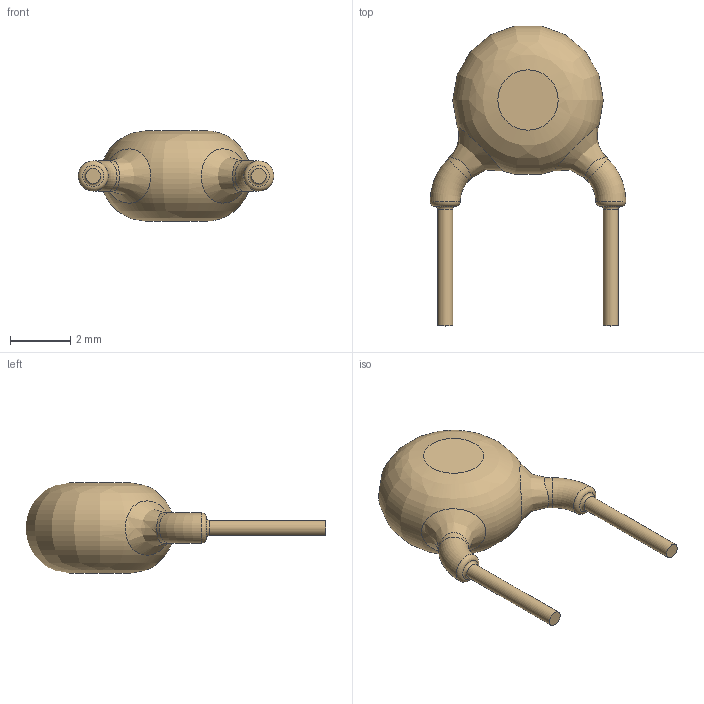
import math

import cadquery as cq

body_radius = 2.5
body_height = 3.0
rim_radius = body_height / 2
flat_radius = body_radius - rim_radius

lead_spacing = 5.5
lead_radius = 0.25
lead_tip_y = -7.5

sleeve_radius = 0.5
exit_angle = math.radians(45)
bend_radius = 1.5

body_blend = 1.0
sleeve_end_round = 0.15
lead_blend = sleeve_radius - sleeve_end_round - lead_radius

lead_x = lead_spacing / 2
bend_center_x = lead_x - bend_radius
bend_start_x = bend_center_x + bend_radius * math.cos(exit_angle)
bend_start_y = -bend_start_x * math.tan(exit_angle)
bend_end_y = bend_start_y - bend_radius * math.sin(exit_angle)
sleeve_end_y = bend_end_y - sleeve_end_round


def make_body():
    """Flat-faced disc with a full round rim, revolved about Z."""
    return (
        cq.Workplane("XZ")
        .moveTo(0, -rim_radius)
        .lineTo(flat_radius, -rim_radius)
        .threePointArc((body_radius, 0), (flat_radius, rim_radius))
        .lineTo(0, rim_radius)
        .close()
        .revolve(360, (0, 0, 0), (0, 1, 0))
    )


def make_stub():
    """Straight start of the +X sleeve, running out from the body centre."""
    direction = cq.Vector(math.cos(exit_angle), -math.sin(exit_angle), 0)
    length = math.hypot(bend_start_x, bend_start_y)
    return cq.Workplane(cq.Solid.makeCylinder(sleeve_radius, length, cq.Vector(0, 0, 0), direction))


def make_coated_body():
    """Body with both sleeve stubs joined to it by flared blends."""
    stub = make_stub()
    joined = make_body().union(stub).union(stub.mirror("YZ"))
    return joined.edges("%BSPLINE").fillet(body_blend)


def make_lead():
    """Bent sleeve end and its wire, on the +X side."""
    mid_angle = exit_angle / 2
    bend_mid = (
        bend_center_x + bend_radius * math.cos(mid_angle),
        bend_end_y + bend_radius * math.sin(mid_angle),
    )
    path = (
        cq.Workplane("XY")
        .moveTo(lead_x, bend_end_y)
        .threePointArc(bend_mid, (bend_start_x, bend_start_y))
    )
    bend = cq.Workplane("XZ", origin=(lead_x, bend_end_y, 0)).circle(sleeve_radius).sweep(path)

    tip_profile = (
        cq.Workplane("XY", origin=(lead_x, 0, 0))
        .moveTo(0, bend_end_y)
        .lineTo(sleeve_radius, bend_end_y)
        .radiusArc((sleeve_radius - sleeve_end_round, sleeve_end_y), sleeve_end_round)
        .radiusArc((lead_radius, sleeve_end_y - lead_blend), -lead_blend)
        .lineTo(lead_radius, lead_tip_y)
        .lineTo(0, lead_tip_y)
        .close()
    )
    return bend.union(tip_profile.revolve(360, (0, 0, 0), (0, 1, 0)))


lead = make_lead()
result = make_coated_body().union(lead).union(lead.mirror("YZ"))